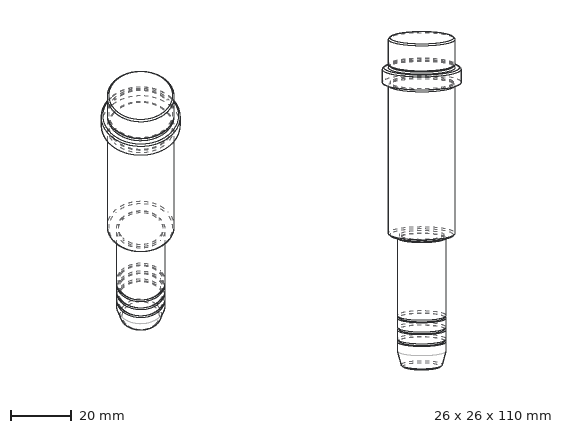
import cadquery as cq
import math

total_length = 110.0
body_radius = 11.0
flange_radius = 13.0
stem_radius = 8.0
edge_chamfer = 0.5

flange_top = 100.0
flange_bottom = 95.0
body_bottom = 44.0

relief_height = 1.0
relief_depth = 0.5
head_bottom = flange_top + relief_height
stem_neck_radius = 7.4

taper_height = 5.2
taper_angle = 15.0
tip_chamfer = 0.5

groove_count = 3
groove_pitch = 4.0
lowest_groove_bottom = 8.2
groove_height = 0.9
groove_root_height = 0.2
groove_depth = 0.5


def revolve_profile(points):
    """Solid of revolution about Z from (radius, height) points."""
    return cq.Workplane("XZ").polyline(points).close().revolve(360, (0, 0, 0), (0, 1, 0))


def cylinder(radius, bottom, top):
    """Cylinder on the Z axis between two heights."""
    return cq.Workplane("XY").workplane(offset=bottom).circle(radius).extrude(top - bottom)


def cone(bottom_radius, top_radius, bottom, top):
    """Truncated cone on the Z axis between two heights."""
    return revolve_profile([(0, bottom), (bottom_radius, bottom), (top_radius, top), (0, top)])


def make_relief(base):
    """Neck that rises to a shoulder above a bevel, with the full body radius at its base."""
    neck_radius = body_radius - relief_depth
    bevel_top = base + edge_chamfer
    bevel = cone(body_radius, neck_radius, base, bevel_top)
    return bevel.union(cylinder(neck_radius, bevel_top, base + relief_height))


def make_head():
    """Chamfered head with a neck between it and the flange."""
    head = cylinder(body_radius, head_bottom, total_length)
    head = head.faces(">Z").edges().chamfer(edge_chamfer)
    return head.union(make_relief(flange_top))


def make_flange():
    flange = cylinder(flange_radius, flange_bottom, flange_top)
    return flange.faces(">Z").edges().chamfer(edge_chamfer)


def make_body():
    """Body with a chamfered lower edge and a neck under the flange."""
    relief_bottom = flange_bottom - relief_height
    body = cylinder(body_radius, body_bottom, relief_bottom)
    body = body.faces("<Z").edges().chamfer(edge_chamfer)
    return body.union(make_relief(relief_bottom))


def make_stem():
    """Stem with a tapered tip and a neck under the body."""
    relief_bottom = body_bottom - relief_height
    tip_radius = stem_radius - taper_height * math.tan(math.radians(taper_angle))
    tip = cone(tip_radius, stem_radius, 0, taper_height)
    tip = tip.faces("<Z").edges().chamfer(tip_chamfer)
    shank = cylinder(stem_radius, taper_height, relief_bottom)
    neck = cylinder(stem_neck_radius, relief_bottom, body_bottom)
    return tip.union(shank).union(neck)


def make_groove(bottom):
    """Ring cutter with a long conical upper side and a short, flatter lower side."""
    return revolve_profile([
        (stem_radius - groove_depth, bottom + groove_root_height),
        (stem_radius, bottom),
        (stem_radius, bottom + groove_height),
    ])


result = make_stem().union(make_body()).union(make_flange()).union(make_head())
for index in range(groove_count):
    result = result.cut(make_groove(lowest_groove_bottom + index * groove_pitch))